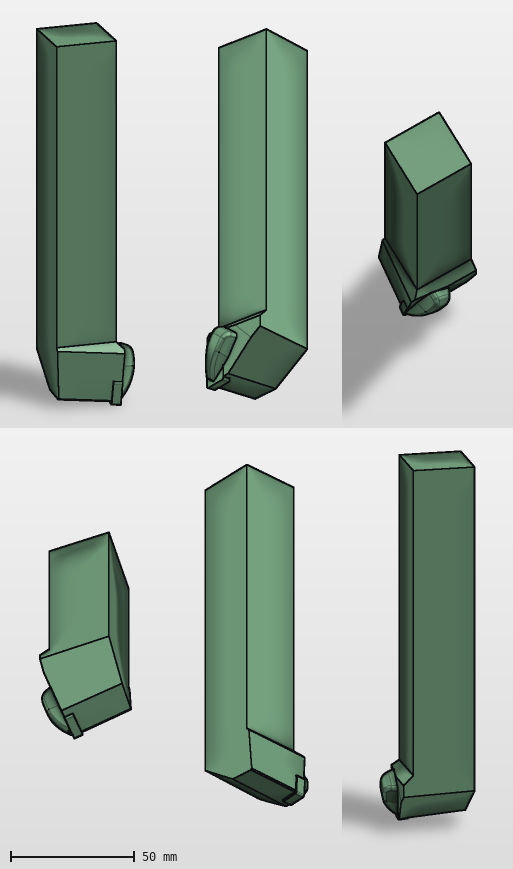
import cadquery as cq
import math

shank_size = 25.4
overall_length = 152.4
nose_reach = 31.76

head_height = 29.4
shoulder_z = 25.1
edge_lead = 5.0
flank_relief = 5.85
flank_corner_x = 28.4
flank_corner_z = 3.75
corner_flat = 0.9
back_angle = 36.5
back_start_z = 17.2
back_relief = 1.6

insert_circle = 9.525
insert_angle = 80.0
seat_tilt = 6.0
insert_thickness = 3.8
nose_radius = 0.8

clamp_rear_x = 16.4
clamp_rear_z = 20.0
clamp_turn = 52.5
clamp_draft = 16.0
rear_half_width = 5.5
waist_distance = 10.3
waist_half_width = 4.6
nose_distance = 21.6
nose_half_width = 1.3
clamp_top = 34.06
crown_radius = 24.0
rear_edge_radius = 3.8
side_edge_radius = 1.7
finger_spare = 1.0
clamp_root = 26.0

lean_slope = math.tan(math.radians(flank_relief))
seat_slope = math.tan(math.radians(seat_tilt))
draft_slope = math.tan(math.radians(clamp_draft))

seat = cq.Plane(
    origin=(nose_reach - nose_radius, shank_size, nose_radius),
    xDir=(-1, 2 * seat_slope, 1),
    normal=(seat_slope, 1, -seat_slope),
)
space = 4 * shank_size


def crossing(point_a, angle_a, point_b, angle_b):
    """Point where two lines, each given by a point and an angle in degrees, cross."""
    ax, az = math.cos(math.radians(angle_a)), math.sin(math.radians(angle_a))
    bx, bz = math.cos(math.radians(angle_b)), math.sin(math.radians(angle_b))
    dx, dz = point_b[0] - point_a[0], point_b[1] - point_a[1]
    along = (dx * bz - dz * bx) / (ax * bz - az * bx)
    return point_a[0] + along * ax, point_a[1] + along * az


def head_outline(y):
    """XZ outline of the head at height y; the flanks move outward with y."""
    side_angle = 90 + edge_lead
    bottom_angle = 180 - edge_lead
    slope_angle = 180 - back_angle
    lean = y * lean_slope
    back_drop = y * math.tan(math.radians(back_relief)) / math.cos(math.radians(back_angle))
    corner = (flank_corner_x + lean, flank_corner_z - lean)
    back_start = (0, back_start_z - back_drop)
    cut = corner_flat / math.sqrt(2)
    flat_point = (corner[0] - cut, corner[1])
    return [
        (0, shoulder_z),
        back_start,
        crossing(back_start, slope_angle, corner, bottom_angle),
        crossing(flat_point, 45, corner, bottom_angle),
        crossing(flat_point, 45, corner, side_angle),
        crossing((0, shoulder_z), 0, corner, side_angle),
    ]


def shoulder_cut(plane_name, length):
    """Wedge above a 45 degree shoulder that starts at the edge of the shank."""
    outer = shank_size + shoulder_z
    return (
        cq.Workplane(plane_name)
        .polyline([(shank_size, shoulder_z), (outer, 0), (outer, shoulder_z)])
        .close()
        .extrude(length)
    )


def make_head():
    lower = cq.Wire.makePolygon([cq.Vector(x, 0, z) for x, z in head_outline(0)], close=True)
    upper = cq.Wire.makePolygon(
        [cq.Vector(x, head_height, z) for x, z in head_outline(head_height)], close=True
    )
    head = cq.Workplane(obj=cq.Solid.makeLoft([lower, upper], True))
    side_shoulder = shoulder_cut("XZ", -space)
    top_shoulder = shoulder_cut("YZ", space)
    return head.cut(side_shoulder).cut(top_shoulder)


def above_seat():
    """Block that fills the space over the seat plane."""
    return cq.Workplane(seat).rect(space, space).extrude(space)


def make_clamp():
    turn = math.radians(clamp_turn)
    forward = (math.cos(turn), 0, -math.sin(turn))
    plan = cq.Plane(origin=(clamp_rear_x, clamp_root, clamp_rear_z), xDir=forward, normal=(0, 1, 0))
    flare = (head_height - clamp_root) * draft_slope
    rear, waist, nose = (
        half + flare for half in (rear_half_width, waist_half_width, nose_half_width)
    )
    finger = (
        cq.Workplane(plan)
        .polyline([
            (-flare, -rear),
            (waist_distance, -waist),
            (nose_distance, -nose),
            (nose_distance, nose),
            (waist_distance, waist),
            (-flare, rear),
        ])
        .close()
        .extrude(clamp_top - clamp_root + finger_spare, taper=clamp_draft)
    )
    side = cq.Plane(
        origin=(clamp_rear_x, 0, clamp_rear_z),
        xDir=forward,
        normal=cq.Vector(*forward).cross(cq.Vector(0, 1, 0)).toTuple(),
    )
    draft = math.radians(clamp_draft)
    wall_top = (clamp_top - head_height) * draft_slope
    arc_tangent = rear_edge_radius * math.tan((math.pi / 2 - draft) / 2)
    crown_start = wall_top + arc_tangent
    arc_start = (
        wall_top - arc_tangent * math.sin(draft),
        clamp_top - arc_tangent * math.cos(draft),
    )
    arc_mid_angle = (math.pi / 2 + draft) / 2
    arc_mid = (
        crown_start - rear_edge_radius * math.cos(arc_mid_angle),
        clamp_top - rear_edge_radius + rear_edge_radius * math.sin(arc_mid_angle),
    )
    crown_angle = math.asin((nose_distance - crown_start) / crown_radius)
    crown_mid, crown_end = (
        (
            crown_start + crown_radius * math.sin(angle),
            clamp_top - crown_radius * (1 - math.cos(angle)),
        )
        for angle in (crown_angle / 2, crown_angle)
    )
    profile = (
        cq.Workplane(side)
        .moveTo(*arc_start)
        .threePointArc(arc_mid, (crown_start, clamp_top))
        .threePointArc(crown_mid, crown_end)
        .lineTo(nose_distance, clamp_root)
        .lineTo(-flare, clamp_root)
        .close()
        .extrude(space / 2, both=True)
    )
    return finger.intersect(profile).edges("%ELLIPSE").fillet(side_edge_radius)


def make_insert():
    edge = insert_circle / math.sin(math.radians(insert_angle))
    half = math.radians(insert_angle / 2)
    corner = -nose_radius / math.sin(half)
    return (
        cq.Workplane(seat)
        .polyline([
            (corner, 0),
            (corner + edge * math.cos(half), edge * math.sin(half)),
            (corner + 2 * edge * math.cos(half), 0),
            (corner + edge * math.cos(half), -edge * math.sin(half)),
        ])
        .close()
        .extrude(-insert_thickness)
        .edges(cq.selectors.ParallelDirSelector(seat.zDir))
        .fillet(nose_radius)
    )


def make_shank():
    length = overall_length - shoulder_z
    shank = cq.Workplane("XY").box(shank_size, shank_size, length, centered=False)
    return shank.translate((0, 0, shoulder_z))


def make_holder(insert):
    """Shank, head and clamp in one piece, with a pocket that fits the insert."""
    head = make_head().cut(above_seat())
    clamp = make_clamp().intersect(above_seat())
    return make_shank().union(head).union(clamp).cut(insert)


insert = make_insert()
holder = make_holder(insert)

result = cq.Compound.makeCompound([holder.val(), insert.val()])